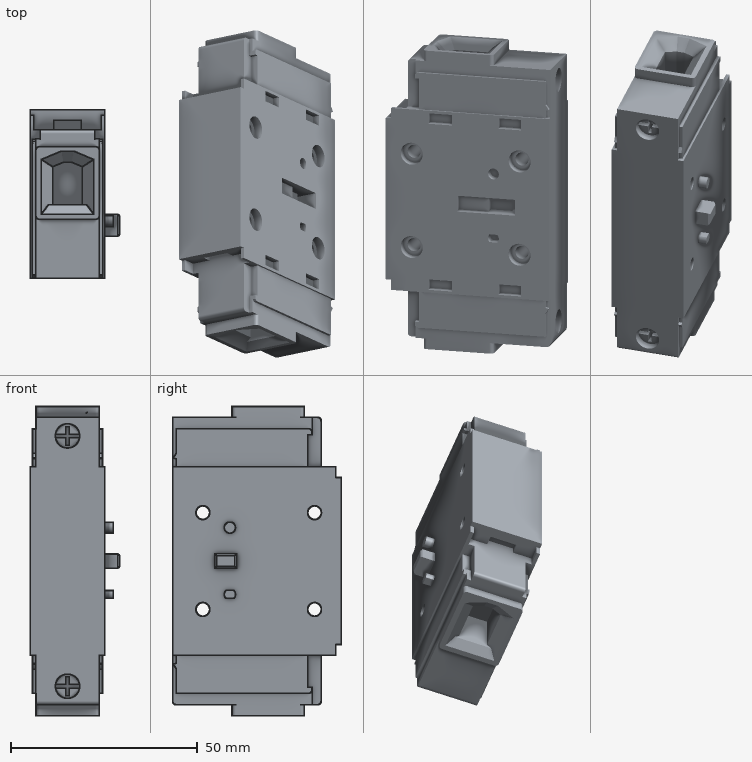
import cadquery as cq

EPS = 0.5

block_half_width = 10.0
block_half_height = 25.25
block_depth = 43.7
back_half_height = 22.4
back_depth = 45.2
shelf_half_width = 9.0

body_half_width = 8.5
body_half_height = 38.5
body_depth = 39.8
body_edge_radius = 1.0
back_strip_half_width = 7.35
back_strip_start = 36.2
shoulder_start = 37.35
shoulder_bottom = 33.8

shelf_pocket_half_width = 3.7
shelf_pocket_end = 42.4
shelf_pocket_depth = 2.0

cover_half_width = 9.4
cover_front = 1.05
cover_back = 36.2
cover_top = 35.4
cover_hook_end = 37.25
cover_hook_chamfer = 0.5
snap_tip = 0.15
snap_top = 28.9
snap_tip_height = 27.6
snap_bottom = 27.35

collar_half_height = 41.425
collar_front = 15.85
collar_back = 35.3
collar_corner_radius = 1.0
funnel_mouth_half_width = 7.0
funnel_mouth_front = 17.25
funnel_mouth_side = 31.85
funnel_mouth_crown = 34.1
funnel_mouth_crown_half_width = 1.65
funnel_throat_half_width = 4.0
funnel_throat_front = 19.7
funnel_throat_side = 29.9
funnel_throat_crown = 31.1
funnel_throat_crown_half_width = 1.1
funnel_depth = 2.8
funnel_front_slope_depth = 1.75
wire_pocket_depth = 14.0

screw_height = 33.5
screw_diameter = 6.5
screw_recess = 2.3
screw_slot_depth = 2.0
screw_slot_width = 1.0
screw_short_slot_length = 5.0

mount_hole_front = 8.1
mount_hole_spacing_y = 29.9
mount_hole_height = 12.95
mount_hole_diameter = 3.6
mount_bore_diameter = 6.1
mount_bore_depth = 2.5

latch_recesses = [(10.85, 6.3), (30.1, 6.6)]
latch_bottom = 21.6
latch_top = 24.5
latch_depth = 2.0

pin_y = 15.35
pin_diameter = 3.0
pin_height = 8.95
key_height = 2.15
pin_length = 2.3
socket_depth = 2.5

slider_front = 11.3
slider_back = 17.2
slider_height = 3.9
slider_length = 4.0
slider_chamfer = 0.5
slot_front = 9.3
slot_back = 25.4
slot_height = 4.4
slot_depth = 2.2
slot_deep_depth = 4.5
slot_deepest_depth = 6.0


def box(x_range, y_range, z_range):
    """Axis-aligned box from (low, high) ranges."""
    sizes = [high - low for low, high in (x_range, y_range, z_range)]
    corner = (x_range[0], y_range[0], z_range[0])
    return cq.Workplane("XY").box(*sizes, centered=False).translate(corner)


def slab(half_width, y_range, half_height):
    """Box centred on X and Z."""
    return box((-half_width, half_width), y_range, (-half_height, half_height))


def both_ends(shape):
    """The shape together with its mirror image about Z = 0."""
    return shape.union(shape.mirror("XY"))


def cylinder_x(x_start, x_end, y, z, diameter):
    """Cylinder along X."""
    plane = cq.Workplane("YZ", origin=(x_start, y, z))
    return plane.circle(diameter / 2).extrude(x_end - x_start)


def central_block():
    block = slab(block_half_width, (0, block_depth), block_half_height)
    block = block.union(slab(block_half_width, (0, back_depth), back_half_height))
    shelf_cut = box(
        (-shelf_half_width, shelf_half_width),
        (body_depth, back_depth + EPS),
        (back_half_height, block_half_height + EPS),
    )
    pocket = box(
        (-shelf_pocket_half_width, shelf_pocket_half_width),
        (body_depth, shelf_pocket_end),
        (back_half_height - shelf_pocket_depth, back_half_height + EPS),
    )
    return block.cut(both_ends(shelf_cut.union(pocket)))


def slim_body():
    front = slab(body_half_width, (0, back_strip_start), body_half_height)
    front = front.faces("<Y").edges("<Z").fillet(body_edge_radius)
    shoulder = box(
        (-body_half_width, body_half_width),
        (back_strip_start, shoulder_start),
        (shoulder_bottom, body_half_height),
    )
    strip = slab(back_strip_half_width, (back_strip_start, body_depth), body_half_height)
    strip = strip.faces(">Y").edges("|X").fillet(body_edge_radius)
    return front.union(strip).union(both_ends(shoulder))


def side_covers():
    outline = [
        (cover_front, 0),
        (cover_front, snap_bottom),
        (snap_tip, snap_tip_height),
        (cover_front, snap_top),
        (cover_front, cover_top),
        (cover_hook_end - cover_hook_chamfer, cover_top),
        (cover_hook_end, cover_top - cover_hook_chamfer),
        (cover_hook_end, shoulder_bottom),
        (cover_back, shoulder_bottom),
        (cover_back, 0),
    ]
    plane = cq.Workplane("YZ", origin=(-cover_half_width, 0, 0))
    return both_ends(plane.polyline(outline).close().extrude(2 * cover_half_width))


def collars():
    collar = slab(body_half_width, (collar_front, collar_back), collar_half_height)
    return collar.edges("|Z").fillet(collar_corner_radius)


def funnel_outline(half_width, front, side, crown, crown_half_width):
    """House-shaped wire opening, listed counter-clockwise."""
    return [
        (-half_width, front),
        (half_width, front),
        (half_width, side),
        (crown_half_width, crown),
        (-crown_half_width, crown),
        (-half_width, side),
    ]


def throat_outline(front):
    return funnel_outline(
        funnel_throat_half_width,
        front,
        funnel_throat_side,
        funnel_throat_crown,
        funnel_throat_crown_half_width,
    )


def funnel_loft(throat_front, mouth_front):
    """Tapered opening between the throat and the mouth, with the given front edges."""
    mouth = funnel_outline(
        funnel_mouth_half_width,
        mouth_front,
        funnel_mouth_side,
        funnel_mouth_crown,
        funnel_mouth_crown_half_width,
    )
    return (
        cq.Workplane("XY", origin=(0, 0, collar_half_height - funnel_depth))
        .polyline(throat_outline(throat_front))
        .close()
        .workplane(offset=funnel_depth)
        .polyline(mouth)
        .close()
        .loft(ruled=True)
    )


def wire_funnels():
    """Funnels whose front wall slopes in, then drops straight into the wire pocket."""
    front_slope = (funnel_throat_front - funnel_mouth_front) / funnel_front_slope_depth
    slope_end = funnel_mouth_front + front_slope * funnel_depth
    sloped = funnel_loft(slope_end, funnel_mouth_front)
    straight = funnel_loft(funnel_throat_front, funnel_throat_front)
    pocket_plane = cq.Workplane("XY", origin=(0, 0, collar_half_height - wire_pocket_depth))
    pocket = pocket_plane.polyline(throat_outline(funnel_throat_front)).close()
    pocket = pocket.extrude(wire_pocket_depth - funnel_depth)
    return both_ends(sloped.union(straight).union(pocket))


def screw_recess_cut(z):
    """Round recess down to the screw head, with the cross slot in the head."""
    floor_y = screw_recess + screw_slot_depth
    recess = cq.Workplane("XZ", origin=(0, 0, z)).circle(screw_diameter / 2).extrude(-screw_recess)
    head = cq.Workplane("XZ", origin=(0, 0, z)).circle(screw_diameter / 2).extrude(-floor_y)
    long_slot = slab(screw_diameter / 2, (0, floor_y), screw_slot_width / 2)
    short_slot = slab(screw_slot_width / 2, (0, floor_y), screw_short_slot_length / 2)
    cross = long_slot.union(short_slot).translate((0, 0, z))
    return recess.union(cross.intersect(head))


def mounting_hole_cut(y, z):
    hole = cylinder_x(-block_half_width, block_half_width, y, z, mount_hole_diameter)
    bore_end = mount_bore_depth - block_half_width
    return hole.union(cylinder_x(-block_half_width, bore_end, y, z, mount_bore_diameter))


def latch_recess_cuts():
    cuts = cq.Workplane("XY")
    for y, length in latch_recesses:
        recess = box(
            (-block_half_width, latch_depth - block_half_width),
            (y - length / 2, y + length / 2),
            (latch_bottom, latch_top),
        )
        cuts = cuts.union(both_ends(recess))
    return cuts


def locating_pins(x_start, length):
    """Round pin above and double-flat pin below, running along +X from x_start."""
    x_end = x_start + length
    pin = cylinder_x(x_start, x_end, pin_y, pin_height, pin_diameter)
    key_range = (-pin_height - key_height / 2, -pin_height + key_height / 2)
    flats = box((x_start, x_end), (pin_y - pin_diameter, pin_y + pin_diameter), key_range)
    key = cylinder_x(x_start, x_end, pin_y, -pin_height, pin_diameter).intersect(flats)
    return pin.union(key)


def slider():
    x_range = (block_half_width, block_half_width + slider_length)
    bar = box(x_range, (slider_front, slider_back), (-slider_height / 2, slider_height / 2))
    return bar.faces(">X").chamfer(slider_chamfer)


def slider_socket_cut():
    """Slot stepped down towards the front."""
    z_range = (-slot_height / 2, slot_height / 2)
    steps = [
        (slot_back, slot_depth),
        (slider_back, slot_deep_depth),
        (slider_front, slot_deepest_depth),
    ]
    cuts = cq.Workplane("XY")
    for y_end, depth in steps:
        x_range = (-block_half_width, depth - block_half_width)
        cuts = cuts.union(box(x_range, (slot_front, y_end), z_range))
    return cuts


result = slim_body().union(central_block()).union(side_covers()).union(collars())
result = result.cut(wire_funnels())
for z in (-screw_height, screw_height):
    result = result.cut(screw_recess_cut(z))
for y in (mount_hole_front, mount_hole_front + mount_hole_spacing_y):
    for z in (-mount_hole_height, mount_hole_height):
        result = result.cut(mounting_hole_cut(y, z))
result = result.cut(latch_recess_cuts())
result = result.cut(slider_socket_cut())
result = result.cut(locating_pins(-block_half_width, socket_depth))
result = result.union(locating_pins(block_half_width, pin_length)).union(slider())